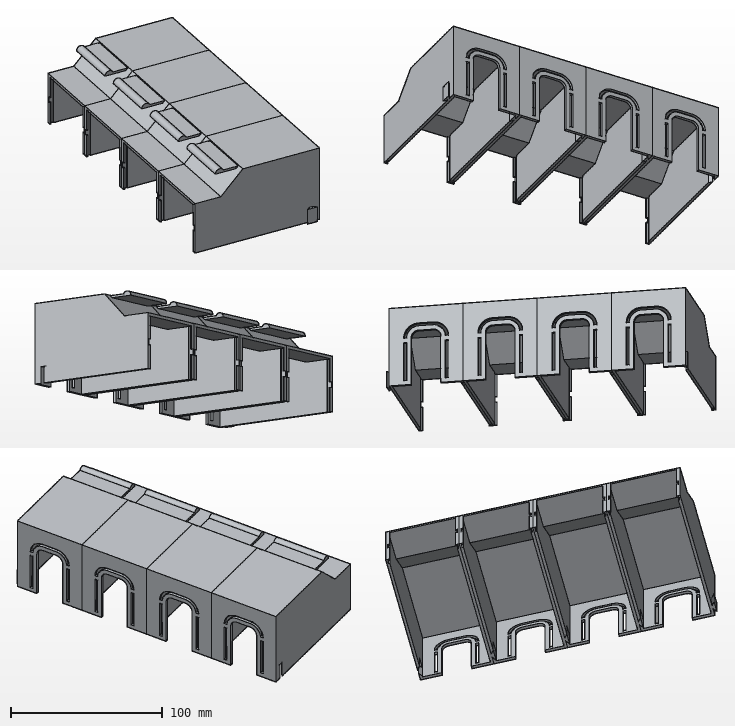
import cadquery as cq
COVER_COUNT = 4
TOTAL_LENGTH = 202.0
RAIL_DEPTH = 2.0
PITCH = (TOTAL_LENGTH - RAIL_DEPTH) / COVER_COUNT
MID_X = PITCH / 2

DEPTH = 93.8
ROOF_Z = 54.0
FRONT_ROOF_Z = 37.4
SLOPE_TOP_Y = -57.8
SLOPE_FOOT_Y = -74.4
WALL = 2.0
CAVITY_SHIFT = WALL / 2

LIP_THICKNESS = 0.6
LIP_LENGTH = 1.0
GROOVE_WIDTH = 2.2
GROOVE_FLOOR = 1.2
NOTCH_BOTTOM_Z = 16.2
NOTCH_HEIGHT = 3.8

HANDLE_WIDTH = 38.8
HANDLE_TOP_Z = 55.2
BEAD_RADIUS = 3.2
HANDLE_BOTTOM_Z = HANDLE_TOP_Z - BEAD_RADIUS
PLATE_THICKNESS = 1.6
BEAD_CENTER_Y = -72.1

OPENING_WIDTH = 20.0
BAND = 3.0
SLOT_WIDTH = 2.0
CORNER_RADIUS = 5.0
OPENING_TOP_Z = 37.4
BRIDGE_BOTTOM_Z = 29.3
BRIDGE_HEIGHT = 3.2

RAIL_CENTER_Y = -6.5
RAIL_NECK = 2.5
RAIL_HEAD = 7.5
RAIL_HEIGHT = 11.1


def box(x_min, x_max, y_min, y_max, z_min, z_max):
    """Axis-aligned block between two corners."""
    size = (x_max - x_min, y_max - y_min, z_max - z_min)
    return cq.Workplane("XY").box(*size, centered=False).translate((x_min, y_min, z_min))


def shell():
    """Stepped housing, open at the front and the bottom."""
    outer = (
        cq.Workplane("YZ")
        .moveTo(0, 0)
        .lineTo(0, ROOF_Z)
        .lineTo(SLOPE_TOP_Y, ROOF_Z)
        .lineTo(SLOPE_FOOT_Y, FRONT_ROOF_Z)
        .lineTo(-DEPTH, FRONT_ROOF_Z)
        .lineTo(-DEPTH, 0)
        .close()
        .extrude(PITCH)
    )
    cavity = (
        cq.Workplane("YZ", origin=(WALL, 0, 0))
        .moveTo(-WALL, 0)
        .lineTo(-WALL, ROOF_Z - WALL)
        .lineTo(SLOPE_TOP_Y + CAVITY_SHIFT, ROOF_Z - WALL)
        .lineTo(SLOPE_FOOT_Y + CAVITY_SHIFT, FRONT_ROOF_Z - WALL)
        .lineTo(-DEPTH, FRONT_ROOF_Z - WALL)
        .lineTo(-DEPTH, 0)
        .close()
        .extrude(PITCH - 2 * WALL)
    )
    return outer.cut(cavity)


def lip():
    """Thickened front edge of the left side wall."""
    return box(
        0, WALL + LIP_THICKNESS,
        -DEPTH, -DEPTH + LIP_LENGTH,
        0, FRONT_ROOF_Z - WALL,
    )


def groove():
    """Full-height groove in the left side wall, right behind the lip."""
    return box(
        GROOVE_FLOOR, WALL,
        -DEPTH + LIP_LENGTH, -DEPTH + LIP_LENGTH + GROOVE_WIDTH,
        0, FRONT_ROOF_Z - WALL,
    )


def notch():
    """Notch through the left lip into the groove."""
    return box(
        GROOVE_FLOOR, WALL + LIP_THICKNESS,
        -DEPTH, -DEPTH + LIP_LENGTH,
        NOTCH_BOTTOM_Z, NOTCH_BOTTOM_Z + NOTCH_HEIGHT,
    )


def mirrored_pair(body):
    """The body together with its mirror image about the cover's middle."""
    return body.union(body.mirror("YZ", (MID_X, 0, 0)))


def arch(offset):
    """Arch-shaped cutter through the rear wall, offset outwards from the opening."""
    half_width = OPENING_WIDTH / 2 + offset
    block = box(
        MID_X - half_width, MID_X + half_width,
        -WALL, 0,
        0, OPENING_TOP_Z + offset,
    )
    return block.edges("|Y and >Z").fillet(CORNER_RADIUS + offset)


def rear_slot():
    """Slot round the opening, interrupted by bridges on both sides and at the bottom."""
    ring = arch(BAND + SLOT_WIDTH).cut(arch(BAND))
    ring = ring.cut(box(0, PITCH, -WALL, 0, 0, BAND))
    ring = ring.cut(box(0, PITCH, -WALL, 0, BRIDGE_BOTTOM_Z, BRIDGE_BOTTOM_Z + BRIDGE_HEIGHT))
    return ring


def handle():
    """Grip that stands out from the sloped face."""
    left = MID_X - HANDLE_WIDTH / 2
    slope_run = (SLOPE_TOP_Y - SLOPE_FOOT_Y) / (ROOF_Z - FRONT_ROOF_Z)
    plate_top_z = HANDLE_BOTTOM_Z + PLATE_THICKNESS
    plate = (
        cq.Workplane("YZ", origin=(left, 0, 0))
        .moveTo(SLOPE_TOP_Y - slope_run * (ROOF_Z - HANDLE_BOTTOM_Z), HANDLE_BOTTOM_Z)
        .lineTo(SLOPE_TOP_Y - slope_run * (ROOF_Z - plate_top_z), plate_top_z)
        .lineTo(BEAD_CENTER_Y, plate_top_z)
        .lineTo(BEAD_CENTER_Y, HANDLE_BOTTOM_Z)
        .close()
        .extrude(HANDLE_WIDTH)
    )
    bead = (
        cq.Workplane("YZ", origin=(left, 0, 0))
        .moveTo(BEAD_CENTER_Y + BEAD_RADIUS, HANDLE_BOTTOM_Z)
        .threePointArc((BEAD_CENTER_Y, HANDLE_TOP_Z), (BEAD_CENTER_Y - BEAD_RADIUS, HANDLE_BOTTOM_Z))
        .close()
        .extrude(HANDLE_WIDTH)
    )
    return plate.union(bead)


def dovetail(base_x):
    """Vertical dovetail whose neck lies at base_x and whose head points to +X."""
    return (
        cq.Workplane("XY")
        .moveTo(base_x, RAIL_CENTER_Y - RAIL_NECK / 2)
        .lineTo(base_x + RAIL_DEPTH, RAIL_CENTER_Y - RAIL_HEAD / 2)
        .lineTo(base_x + RAIL_DEPTH, RAIL_CENTER_Y + RAIL_HEAD / 2)
        .lineTo(base_x, RAIL_CENTER_Y + RAIL_NECK / 2)
        .close()
        .extrude(RAIL_HEIGHT)
    )


def make_cover():
    """One cover; its left socket takes the rail of the cover before it."""
    cover = shell().union(mirrored_pair(lip()))
    cover = cover.cut(mirrored_pair(groove())).cut(mirrored_pair(notch()))
    cover = cover.cut(arch(0)).cut(rear_slot())
    cover = cover.cut(dovetail(0)).union(dovetail(PITCH))
    return cover.union(handle())


cover = make_cover()
covers = [cover.translate((index * PITCH, 0, 0)).val() for index in range(COVER_COUNT)]

result = cq.Compound.makeCompound(covers)